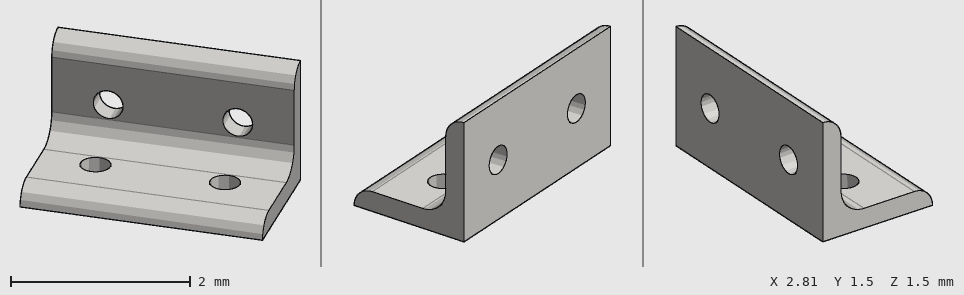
import cadquery as cq

length = 2.81
leg = 1.5
thickness = 0.25
root_radius = 0.312
hole_diameter = 0.343
hole_spacing = 1.5

toe_radius = thickness
hole_offset = leg / 2


def angle_profile():
    """L-section in the YZ plane: outer corner at the origin, legs along -Y and +Z."""
    return (
        cq.Workplane("YZ")
        .lineTo(0, leg)
        .radiusArc((-thickness, leg - toe_radius), -toe_radius)
        .lineTo(-thickness, thickness + root_radius)
        .radiusArc((-thickness - root_radius, thickness), root_radius)
        .lineTo(-leg + toe_radius, thickness)
        .radiusArc((-leg, thickness - toe_radius), -toe_radius)
        .close()
    )


def hole_pair(plane, across, depth):
    """Two round cutters along X, offset across the leg and extruded through it."""
    return (
        cq.Workplane(plane)
        .pushPoints([(side * hole_spacing / 2, across) for side in (-1, 1)])
        .circle(hole_diameter / 2)
        .extrude(depth)
    )


bracket = angle_profile().extrude(length / 2, both=True)

upright_holes = hole_pair("XZ", hole_offset, thickness)
base_holes = hole_pair("XY", -hole_offset, thickness)

result = bracket.cut(upright_holes).cut(base_holes)